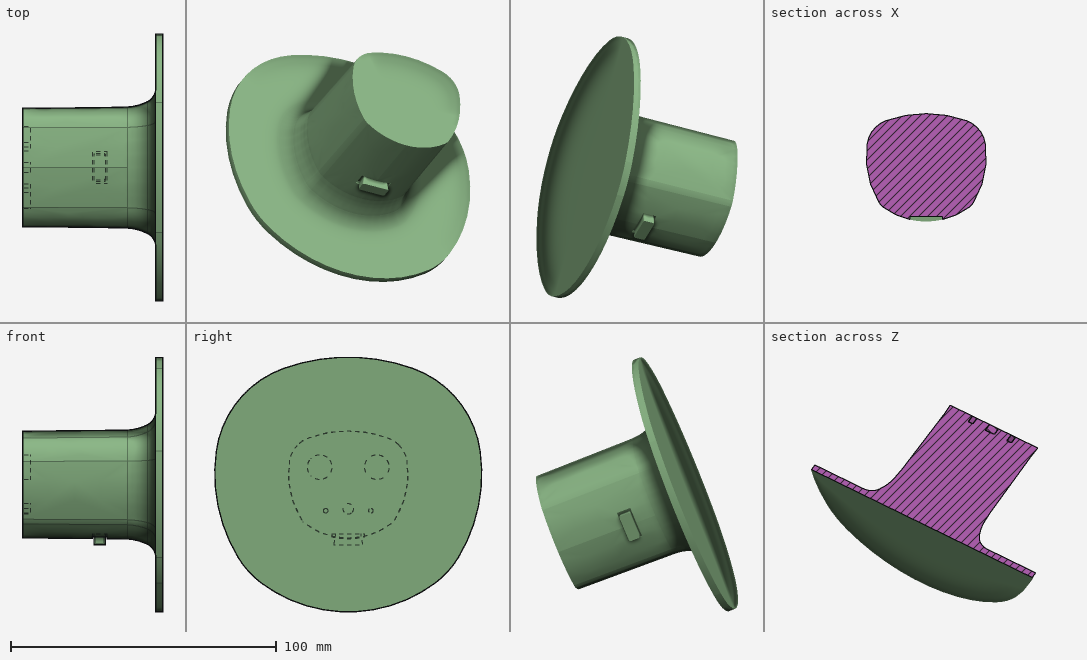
import cadquery as cq
import math

half_width = 50.3
half_height = 48.0
top_radius = 72.0
side_radius = 60.9
lower_corner_radius = 34.1
top_end, upper_corner_end, side_end, lower_corner_end = 19.9, 81.9, 121.3, 143.3

total_length = 52.8
plate_thickness = 2.7
plate_front = total_length - plate_thickness

flare_length = 10.7
flare_tight_radius = 5.6
flare_joint_angle = 27.0
flare_overlap = 3.0
tube_length = plate_front - flare_length

flare_inset = 20.4
tube_root_inset = 27.5
tube_end_inset = 27.9

insert_depth = 3.0
large_diameter, large_spacing, large_z = 9.3, 21.5, 6.5
middle_diameter, middle_z = 3.9, -9.2
small_diameter, small_spacing, small_z = 1.7, 17.0, -9.9

button_x = 29.0
button_length = 4.3
button_top_width = 9.5
button_bottom_width = 10.7
button_corner_radius = 0.6
button_rim_height = 0.6
button_bottom_z = -22.7
pocket_floor_z = -18.6
pocket_length = 5.4
pocket_width = 12.1


def direction(angle):
    """Unit (Y, Z) vector at an angle in degrees from +Z towards +Y."""
    return math.sin(math.radians(angle)), math.cos(math.radians(angle))


def half_arcs():
    """Arcs of the plate's right half as (centre y, centre z, radius, start angle, end angle)."""
    top_sine = direction(top_end)[0]
    corner_sine = direction(upper_corner_end)[0]
    upper_corner_radius = (
        half_width - top_radius * top_sine - side_radius * (1 - corner_sine)
    ) / (corner_sine - top_sine)
    radii = [top_radius, upper_corner_radius, side_radius, lower_corner_radius]
    ends = [top_end, upper_corner_end, side_end, lower_corner_end]

    arcs = []
    centre_y, centre_z = 0.0, half_height - top_radius
    start = 0.0
    for i, (radius, end) in enumerate(zip(radii, ends)):
        arcs.append((centre_y, centre_z, radius, start, end))
        y, z = direction(end)
        if i + 1 < len(radii):
            next_radius = radii[i + 1]
        else:
            next_radius = radius + centre_y / y
        centre_y += (radius - next_radius) * y
        centre_z += (radius - next_radius) * z
        start = end
    arcs.append((centre_y, centre_z, next_radius, start, 180.0))
    return arcs


def full_arcs():
    """Arcs all the way round; the left half mirrors the right."""
    right = half_arcs()
    left = [(-y, z, radius, -end, -start) for y, z, radius, start, end in reversed(right)]
    return right + left


def outline(x, inset):
    """Closed outline at a given X, lying a constant distance inside the plate outline."""

    def point(arc, angle):
        y, z = direction(angle)
        reach = arc[2] - inset
        return arc[0] + reach * y, arc[1] + reach * z

    arcs = full_arcs()
    path = cq.Workplane("YZ", origin=(x, 0, 0)).moveTo(*point(arcs[0], arcs[0][3]))
    for arc in arcs:
        start, end = arc[3:]
        path = path.threePointArc(point(arc, (start + end) / 2), point(arc, end))
    return path.close()


def make_plate():
    """Flat plate at the back."""
    return outline(plate_front, 0).extrude(plate_thickness)


def make_tube():
    """Solid tube that widens slightly from its end face to the flare."""
    end_wire = outline(0, tube_end_inset).val()
    root_wire = outline(tube_length, tube_root_inset).val()
    return cq.Workplane().add([end_wire, root_wire]).toPending().loft(ruled=True)


def flare_sector(arc):
    """Flare along one arc of the outline: its profile turned about the arc's own axis."""
    centre_y, centre_z, radius, start, end = arc
    root_reach = radius - tube_root_inset
    plate_reach = radius - flare_inset
    core_reach = root_reach - flare_overlap

    def tight_point(angle):
        sine, cosine = direction(angle)
        return (
            plate_front - flare_tight_radius * (1 - sine),
            plate_reach - flare_tight_radius * cosine,
        )

    y, z = direction(end)
    plane = cq.Plane(origin=(0, centre_y, centre_z), xDir=(1, 0, 0), normal=(0, -z, y))
    middle_angle = (flare_joint_angle + 90) / 2
    return (
        cq.Workplane(plane)
        .moveTo(plate_front, plate_reach)
        .threePointArc(tight_point(middle_angle), tight_point(flare_joint_angle))
        .tangentArcPoint((tube_length, root_reach), relative=False)
        .lineTo(tube_length, core_reach)
        .lineTo(plate_front, core_reach)
        .close()
        .revolve(end - start, (0, 0), (1, 0))
    )


def make_flare():
    """Solid core between tube and plate with flare sectors all round it."""
    flare = outline(tube_length, tube_root_inset).extrude(flare_length)
    for arc in full_arcs():
        flare = flare.union(flare_sector(arc))
    return flare


def round_inserts(diameter, z, offsets):
    """Short cylinders of one size, one at each Y offset."""
    centres = [(y, z) for y in offsets]
    return cq.Workplane("YZ").pushPoints(centres).circle(diameter / 2).extrude(insert_depth)


def make_button():
    """Button standing on the pocket floor, widening downwards to a straight rim."""
    rim_z = button_bottom_z + button_rim_height
    blank = (
        cq.Workplane("YZ", origin=(button_x - button_length / 2, 0, 0))
        .moveTo(-button_bottom_width / 2, button_bottom_z)
        .lineTo(button_bottom_width / 2, button_bottom_z)
        .lineTo(button_bottom_width / 2, rim_z)
        .lineTo(button_top_width / 2, pocket_floor_z)
        .lineTo(-button_top_width / 2, pocket_floor_z)
        .lineTo(-button_bottom_width / 2, rim_z)
        .close()
        .extrude(button_length)
    )
    return blank.edges("not (|X or |Y)").fillet(button_corner_radius)


def cut_pocket(body):
    """Pocket that opens downwards, with clearance round the button."""
    depth = pocket_floor_z - button_bottom_z
    cutter = (
        cq.Workplane("XY", origin=(button_x, 0, button_bottom_z))
        .rect(pocket_length, pocket_width)
        .extrude(depth)
    )
    return body.cut(cutter)


large_inserts = round_inserts(large_diameter, large_z, [-large_spacing / 2, large_spacing / 2])
middle_insert = round_inserts(middle_diameter, middle_z, [0])
small_inserts = round_inserts(small_diameter, small_z, [-small_spacing / 2, small_spacing / 2])
button = make_button()

housing = make_tube().union(make_flare()).union(make_plate())
for inserts in (large_inserts, middle_insert, small_inserts):
    housing = housing.cut(inserts)
housing = cut_pocket(housing)

result = cq.Compound.makeCompound(
    [
        housing.solids().val(),
        *large_inserts.vals(),
        middle_insert.val(),
        *small_inserts.vals(),
        button.solids().val(),
    ]
)